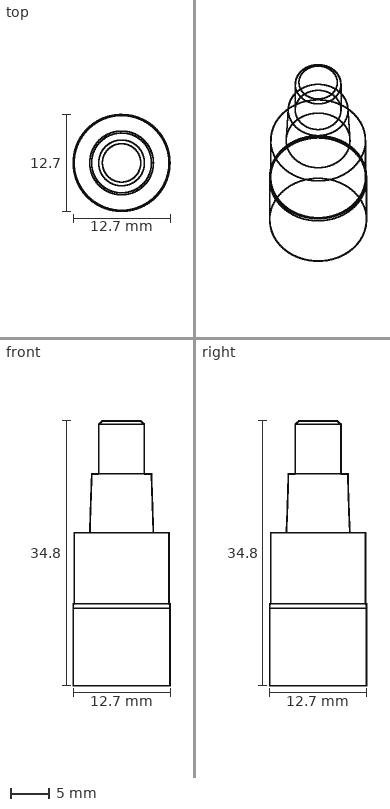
import cadquery as cq

total_height = 34.75
base_diameter = 12.7
base_height = 10.2

collar_thickness = 0.55
shoulder_diameter = 12.45
shoulder_top = 20.08
taper_bottom_diameter = 8.37
taper_top_diameter = 7.85
taper_top = 27.8
tip_diameter = 6.0
tip_bevel_height = 0.45
tip_bevel_width = 0.5


def make_base():
    """Plain cylinder that carries the spindle."""
    return cq.Workplane("XY").circle(base_diameter / 2).extrude(base_height)


def make_spindle():
    """Collar, cylindrical shoulder, tapered neck and bevelled tip in one turned piece."""
    collar_radius = base_diameter / 2
    collar_top = base_height + collar_thickness
    shoulder_radius = shoulder_diameter / 2
    tip_radius = tip_diameter / 2
    half_profile = [
        (0, base_height),
        (collar_radius, base_height),
        (collar_radius, collar_top),
        (shoulder_radius, collar_top),
        (shoulder_radius, shoulder_top),
        (taper_bottom_diameter / 2, shoulder_top),
        (taper_top_diameter / 2, taper_top),
        (tip_radius, taper_top),
        (tip_radius, total_height - tip_bevel_height),
        (tip_radius - tip_bevel_width, total_height),
        (0, total_height),
    ]
    return cq.Workplane("XZ").polyline(half_profile).close().revolve(360, (0, 0), (0, 1))


base = make_base()
spindle = make_spindle()

result = cq.Compound.makeCompound([base.val(), spindle.val()])